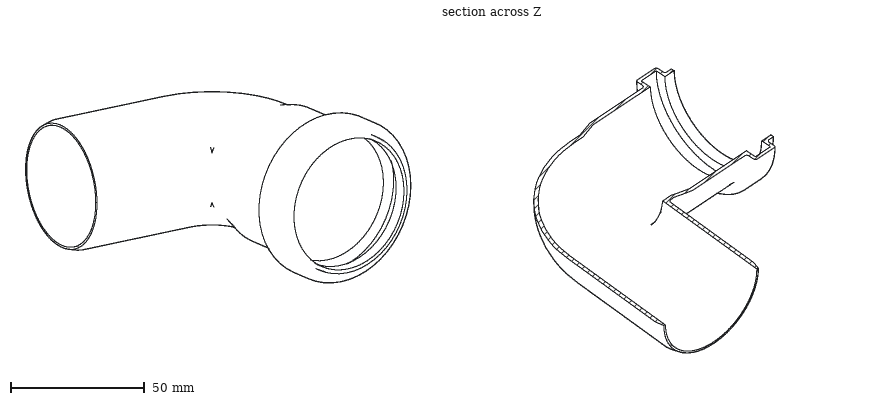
import cadquery as cq
import math


bend_angle = 87.5
bend_radius = 23.0
pipe_diameter = 50.0
pipe_bore = 46.4
crotch_round = 1.0

spigot_length = 52.46
spigot_chamfer_length = 3.6
spigot_chamfer_angle = 15.0

socket_diameter = 54.3
socket_bore = 50.8
bead_diameter = 63.5
bead_wall = 1.6
mouth_bore = 51.1
cone_start = 4.7
cone_end = 12.2
bead_start = 40.9
bead_end = 51.9
socket_end = 55.28
bead_round = 1.0
mouth_round = 0.4

pipe_radius = pipe_diameter / 2
bore_radius = pipe_bore / 2
socket_radius = socket_diameter / 2
bead_radius = bead_diameter / 2

spigot_overlap = 10.0
socket_overlap = 14.0

tilt = math.radians(90 - bend_angle)
socket_frame = cq.Plane(
    origin=(bend_radius * (1 - math.sin(tilt)), bend_radius * math.cos(tilt), 0),
    xDir=(math.cos(tilt), math.sin(tilt), 0),
    normal=(0, 0, 1),
)


def make_bend(radius):
    """Sweep a disc around the bend axis, cutting off the part beyond that axis."""
    half_chord = math.sqrt(radius**2 - bend_radius**2)
    return (
        cq.Workplane("XZ")
        .moveTo(bend_radius, half_chord)
        .threePointArc((-radius, 0), (bend_radius, -half_chord))
        .close()
        .revolve(bend_angle, (bend_radius, 0), (bend_radius, -1))
    )


def make_spigot():
    """Straight pipe with a tapered lead-in at its free end."""
    taper = spigot_chamfer_length * math.tan(math.radians(spigot_chamfer_angle))
    return (
        cq.Workplane("XZ")
        .workplane(offset=-spigot_overlap)
        .circle(pipe_radius)
        .extrude(spigot_overlap + spigot_length)
        .faces("<Y")
        .chamfer(spigot_chamfer_length, taper)
    )


def make_spigot_bore():
    return cq.Workplane("XZ").circle(bore_radius).extrude(spigot_length)


def turn_on_socket_axis(outline):
    """Revolve an (axial, radial) outline, closed along the axis, about the socket axis."""
    points = [(outline[0][0], 0)] + outline + [(outline[-1][0], 0)]
    return cq.Workplane(socket_frame).polyline(points).close().revolve(360, (0, 0), (1, 0))


def make_socket_body():
    """Pipe end, flare and socket, rounded at the mouth."""
    mouth = cq.selectors.DirectionMinMaxSelector(socket_frame.xDir)
    body = turn_on_socket_axis([
        (-socket_overlap, pipe_radius),
        (cone_start, pipe_radius),
        (cone_end, socket_radius),
        (socket_end, socket_radius),
    ])
    return body.faces(mouth).edges().fillet(mouth_round)


def make_bead():
    """Gasket bead: a collar with rounded rims and concave rounds at its foot."""
    r = bead_round
    diagonal = r * math.sqrt(0.5)
    near_foot = bead_start - r
    far_foot = bead_end + r
    return (
        cq.Workplane(socket_frame)
        .moveTo(near_foot, 0)
        .lineTo(near_foot, socket_radius)
        .threePointArc(
            (near_foot + diagonal, socket_radius + r - diagonal), (bead_start, socket_radius + r)
        )
        .lineTo(bead_start, bead_radius - r)
        .threePointArc(
            (bead_start + r - diagonal, bead_radius - r + diagonal), (bead_start + r, bead_radius)
        )
        .lineTo(bead_end - r, bead_radius)
        .threePointArc(
            (bead_end - r + diagonal, bead_radius - r + diagonal), (bead_end, bead_radius - r)
        )
        .lineTo(bead_end, socket_radius + r)
        .threePointArc(
            (far_foot - diagonal, socket_radius + r - diagonal), (far_foot, socket_radius)
        )
        .lineTo(far_foot, 0)
        .close()
        .revolve(360, (0, 0), (1, 0))
    )


def make_socket_bore():
    """Stepped bore with the gasket groove inside the bead."""
    groove_start = bead_start + bead_wall
    groove_end = bead_end - bead_wall
    return turn_on_socket_axis([
        (0, bore_radius),
        (cone_start, bore_radius),
        (cone_end, socket_bore / 2),
        (groove_start, socket_bore / 2),
        (groove_start, bead_radius - bead_wall),
        (groove_end, bead_radius - bead_wall),
        (groove_end, mouth_bore / 2),
        (socket_end, mouth_bore / 2),
    ])


def make_bend_sector():
    """Wedge between the two end planes of the bend, larger than the bend itself."""
    reach = 2 * pipe_diameter
    return (
        cq.Workplane("XZ")
        .center(bend_radius - reach / 2, 0)
        .rect(reach, reach)
        .revolve(bend_angle, (reach / 2, 0), (reach / 2, -1))
    )


def make_straight_pipes():
    """Spigot and socket joined by a rounded crotch, ending at the bend's end planes."""
    pipes = make_spigot().union(make_socket_body())
    rounded = pipes.edges("%ELLIPSE").fillet(crotch_round)
    return rounded.cut(make_bend_sector()).union(make_bead())


outside = make_straight_pipes().union(make_bend(pipe_radius))
inside = make_spigot_bore().union(make_bend(bore_radius)).union(make_socket_bore())

result = outside.cut(inside)